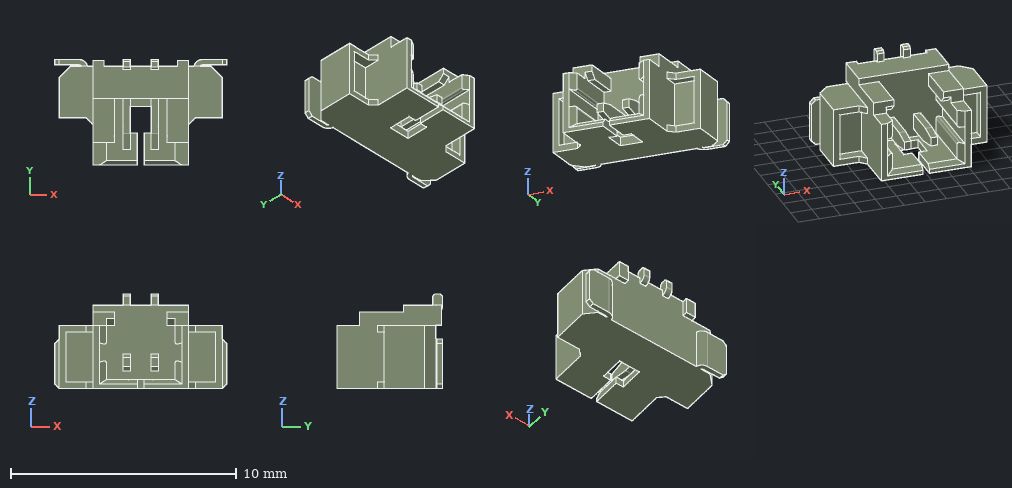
import cadquery as cq
import math


body_half_width = 2.125
cavity_half_width = 1.525
floor_thickness = 0.4
wall_height = 2.8
arm_height = 3.4
body_height = 3.7
back_wall_front = 2.95
back_wall_rear = 4.4

arm_front = 1.0
arm_inner_x = 1.175
arm_lead_in = 0.3

standoff_rear = 4.65
standoff_inner_x = 1.625

wing_half_width = 3.625
wing_front = 2.1
wing_wall = 0.3
wing_rear_chamfer = 0.5
pocket_back = 2.6

mouth_half_width = 1.825
mouth_bottom = 0.2
mouth_depth = 0.2
groove_center_z = 1.6
groove_root_height = 0.84
groove_mouth_height = 0.75
groove_edge_radius = 0.1

slit_width = 0.3
window_front = 1.43
window_back = 2.6
window_width = 1.1

contact_pitch = 1.25
contact_width = 0.32
contact_tip_y = 0.7
top_taper = 0.7
bottom_taper = 1.0
contact_bottom = 0.78
contact_top = 1.53
tip_bottom = 0.98
tip_top = 1.38
tail_front = 4.25
tail_bottom = 3.36
tail_top = 4.2
tail_chamfer = 0.1
tail_bend_radius = 0.3

mounting_plane = 4.7
nail_half_span = 3.825
nail_height = 2.2
nail_thickness = 0.25
nail_leg_x = 2.35
nail_bend_radius = 0.4
nail_leg_front = 4.0
nail_chamfer = 0.2


def box(x_range, y_range, z_range):
    """Axis-aligned block from its limits."""
    (x0, x1), (y0, y1), (z0, z1) = x_range, y_range, z_range
    return cq.Workplane("XY").box(x1 - x0, y1 - y0, z1 - z0, centered=False).translate((x0, y0, z0))


def both_sides(shape):
    """The shape together with its mirror image across X = 0."""
    return shape.union(shape.mirror("YZ"))


def side_profile(points, x_start, x_end):
    """Extrude a (Y, Z) outline along X."""
    return cq.Workplane("YZ").workplane(offset=x_start).polyline(points).close().extrude(x_end - x_start)


def shell():
    """Floor, back wall, side walls and rear standoffs."""
    full_width = (-body_half_width, body_half_width)
    floor = box(full_width, (0, back_wall_rear), (0, floor_thickness))
    back_wall = box(full_width, (back_wall_front, back_wall_rear), (0, body_height))
    side_wall = box((cavity_half_width, body_half_width), (0, back_wall_rear), (0, wall_height))
    standoff = box(
        (standoff_inner_x, body_half_width), (back_wall_front, standoff_rear), (wall_height, body_height)
    )
    return floor.union(back_wall).union(both_sides(side_wall.union(standoff)))


def arm():
    """Arm over the +X side wall; its overhang has a sloped lead-in underneath."""
    outer = box(
        (cavity_half_width, body_half_width), (arm_front, back_wall_front), (wall_height, arm_height)
    )
    overhang = side_profile(
        [
            (arm_front, arm_height),
            (back_wall_front, arm_height),
            (back_wall_front, wall_height),
            (arm_front + arm_lead_in, wall_height),
            (arm_front, wall_height + arm_lead_in),
        ],
        arm_inner_x,
        cavity_half_width,
    )
    return outer.union(overhang)


def wing():
    """Wing on the +X side, with its pocket open to the front."""
    block = (
        cq.Workplane("XY")
        .polyline(
            [
                (body_half_width, wing_front - wing_wall),
                (body_half_width + wing_wall, wing_front),
                (wing_half_width, wing_front),
                (wing_half_width, back_wall_rear - wing_rear_chamfer),
                (wing_half_width - wing_rear_chamfer, back_wall_rear),
                (body_half_width, back_wall_rear),
            ]
        )
        .close()
        .extrude(wall_height)
    )
    pocket = box(
        (body_half_width, wing_half_width - wing_wall),
        (wing_front - wing_wall, pocket_back),
        (wing_wall, wall_height - wing_wall),
    )
    return block.cut(pocket)


def mouth_lead_in():
    """Wedge that bevels the side walls and the floor edge at the mating face."""
    return (
        cq.Workplane("XZ")
        .center(0, (mouth_bottom + wall_height) / 2)
        .rect(2 * mouth_half_width, wall_height - mouth_bottom)
        .workplane(offset=-mouth_depth)
        .center(0, (floor_thickness - mouth_bottom) / 2)
        .rect(2 * cavity_half_width, wall_height - floor_thickness)
        .loft(ruled=True)
    )


def guide_groove():
    """Groove along the +X side wall, narrowing to rounded edges at the cavity."""
    root = groove_root_height / 2
    lip = groove_mouth_height / 2
    radius = groove_edge_radius
    lip_x = cavity_half_width + radius
    diagonal = radius * math.sqrt(0.5)
    return (
        cq.Workplane("XZ")
        .moveTo(mouth_half_width, groove_center_z - root)
        .lineTo(mouth_half_width, groove_center_z + root)
        .lineTo(lip_x, groove_center_z + lip)
        .threePointArc(
            (lip_x - diagonal, groove_center_z + lip + radius - diagonal),
            (cavity_half_width, groove_center_z + lip + radius),
        )
        .lineTo(cavity_half_width, groove_center_z - lip - radius)
        .threePointArc(
            (lip_x - diagonal, groove_center_z - lip - radius + diagonal),
            (lip_x, groove_center_z - lip),
        )
        .close()
        .extrude(-back_wall_front)
    )


def floor_openings():
    """Slit from the mating face, widening to a window under the contacts."""
    slit = box((-slit_width / 2, slit_width / 2), (0, window_front), (0, floor_thickness))
    window = box(
        (-window_width / 2, window_width / 2), (window_front, window_back), (0, floor_thickness)
    )
    return slit.union(window)


def contact():
    """Contact on the +X side: tapered blade in the cavity and solder tail at the top rear."""
    x_start = (contact_pitch - contact_width) / 2
    x_end = x_start + contact_width
    blade = side_profile(
        [
            (contact_tip_y, tip_bottom),
            (contact_tip_y, tip_top),
            (contact_tip_y + top_taper, contact_top),
            (back_wall_front, contact_top),
            (back_wall_front, contact_bottom),
            (contact_tip_y + bottom_taper, contact_bottom),
        ],
        x_start,
        x_end,
    )
    tail = box((x_start, x_end), (tail_front, mounting_plane), (tail_bottom, tail_top))
    tail = tail.edges("|X and >Z").chamfer(tail_chamfer)
    tail = tail.edges("|X and <Z and >Y").fillet(tail_bend_radius)
    return blade.union(tail)


def fitting_nail():
    """Solder plate beside the +X wing, bent into a leg anchored in the wing."""
    plate_front = mounting_plane - nail_thickness
    leg_outer_x = nail_leg_x + nail_thickness
    nail = (
        cq.Workplane("XY")
        .polyline(
            [
                (nail_half_span, plate_front),
                (nail_half_span, mounting_plane),
                (nail_leg_x, mounting_plane),
                (nail_leg_x, nail_leg_front),
                (leg_outer_x, nail_leg_front),
                (leg_outer_x, plate_front),
            ]
        )
        .close()
        .extrude(nail_height)
    )
    outer_corner = cq.selectors.NearestToPointSelector((nail_leg_x, mounting_plane, nail_height / 2))
    inner_corner = cq.selectors.NearestToPointSelector((leg_outer_x, plate_front, nail_height / 2))
    nail = nail.edges(outer_corner).fillet(nail_bend_radius)
    nail = nail.edges(inner_corner).fillet(nail_bend_radius - nail_thickness)
    return nail.edges("|Y and >X").chamfer(nail_chamfer)


housing = shell().union(both_sides(arm().union(wing())))
housing = housing.cut(mouth_lead_in()).cut(both_sides(guide_groove())).cut(floor_openings())
result = housing.union(both_sides(contact())).union(both_sides(fitting_nail()))